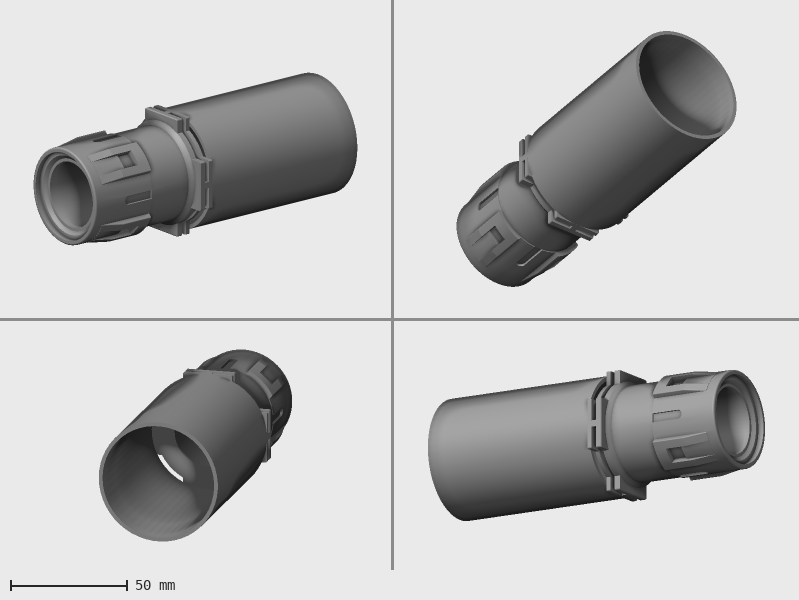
import cadquery as cq

TOTAL_LENGTH = 140.4

TUBE_DIAMETER = 53.0
TUBE_WALL = 1.7

SLEEVE_END = 31.0
CONE_START = 51.5
FLANGE_START = 53.5
FLANGE_END = 60.2

SLEEVE_RADIUS = 21.5
NECK_RADIUS = 21.0
FLANGE_RADIUS = 23.0
MOUTH_FILLET = 0.8

MOUTH_RADIUS = 19.5
MOUTH_DEPTH = 2.5
FUNNEL_OUTER_RADIUS = 17.5
FUNNEL_INNER_RADIUS = 16.0
FUNNEL_DEPTH = 1.4
BORE_RADIUS = 14.6

TAB_WIDTH = 21.9
TAB_CORNER_FILLET = 0.7
TAB_FRONT_CHAMFER = 0.4
GROOVE_START = 56.2
GROOVE_WIDTH = 2.1
WEB_WIDTH = 2.8

SLOT_WIDTH = 4.0
SLOT_TIP = 16.1
SLOT_DEPTH = 1.1

LATCH_WIDTH = 14.7
LATCH_RADIUS = 23.5
LATCH_FILLET = 0.4
RAMP_START = 4.9
RAMP_END = 15.7
CHANNEL_WIDTH = 7.3
CHANNEL_RADIUS = 21.6
WINDOW_START = 19.1
WINDOW_END = 25.5
WINDOW_RADIUS = 20.2
LATCH_ANGLE = 45

QUARTER_TURNS = (0, 90, 180, 270)


def cylinder(radius, start, end):
    """Cylinder on the Y axis between two stations."""
    return cq.Workplane("XZ", origin=(0, start, 0)).circle(radius).extrude(start - end)


def upper_block(width, start, end):
    """Block on the +Z side that reaches from the axis past every outer surface."""
    return cq.Workplane("XY").box(
        width, end - start, TUBE_DIAMETER, centered=(True, False, False)
    ).translate((0, start, 0))


def four_times(shape, first_angle=0):
    """Copies of a shape at quarter turns about the Y axis."""
    copies = cq.Workplane("XY")
    for turn in QUARTER_TURNS:
        copies.add(shape.rotate((0, 0, 0), (0, 1, 0), first_angle + turn))
    return copies.combine()


def make_tube():
    outside = cylinder(TUBE_DIAMETER / 2, FLANGE_END, TOTAL_LENGTH)
    return outside.cut(cylinder(TUBE_DIAMETER / 2 - TUBE_WALL, FLANGE_END, TOTAL_LENGTH))


def make_plug():
    """Sleeve, neck, cone and round flange, turned about the Y axis."""
    profile = (
        cq.Workplane("XY")
        .moveTo(0, 0)
        .lineTo(SLEEVE_RADIUS - MOUTH_FILLET, 0)
        .radiusArc((SLEEVE_RADIUS, MOUTH_FILLET), -MOUTH_FILLET)
        .lineTo(SLEEVE_RADIUS, SLEEVE_END)
        .lineTo(NECK_RADIUS, SLEEVE_END)
        .lineTo(NECK_RADIUS, CONE_START)
        .lineTo(FLANGE_RADIUS, FLANGE_START)
        .lineTo(FLANGE_RADIUS, FLANGE_END)
        .lineTo(0, FLANGE_END)
        .close()
    )
    return profile.revolve(360, (0, 0, 0), (0, 1, 0))


def make_bore():
    funnel_end = MOUTH_DEPTH + FUNNEL_DEPTH
    profile = (
        cq.Workplane("XY")
        .moveTo(0, 0)
        .lineTo(MOUTH_RADIUS, 0)
        .lineTo(MOUTH_RADIUS, MOUTH_DEPTH)
        .lineTo(FUNNEL_OUTER_RADIUS, MOUTH_DEPTH)
        .lineTo(FUNNEL_INNER_RADIUS, funnel_end)
        .lineTo(BORE_RADIUS, funnel_end)
        .lineTo(BORE_RADIUS, FLANGE_END)
        .lineTo(0, FLANGE_END)
        .close()
    )
    return profile.revolve(360, (0, 0, 0), (0, 1, 0))


def make_tab():
    tab = cq.Workplane("XY").box(
        TAB_WIDTH, FLANGE_END - FLANGE_START, TUBE_DIAMETER / 2, centered=(True, False, False)
    ).translate((0, FLANGE_START, 0))
    tab = tab.faces(">Z").edges("<Y").chamfer(TAB_FRONT_CHAMFER)
    return tab.edges("|Y and >Z").fillet(TAB_CORNER_FILLET)


def make_flange_groove():
    """Ring groove down to the neck radius, interrupted by the four webs."""
    groove_end = GROOVE_START + GROOVE_WIDTH
    ring = cylinder(TUBE_DIAMETER, GROOVE_START, groove_end)
    ring = ring.cut(cylinder(NECK_RADIUS, GROOVE_START, groove_end))
    return ring.cut(four_times(upper_block(WEB_WIDTH, GROOVE_START, groove_end)))


def make_slot():
    """Groove with a round front end, open at the back of the sleeve."""
    tip_centre = SLOT_TIP + SLOT_WIDTH / 2
    floor = SLEEVE_RADIUS - SLOT_DEPTH
    round_tip = (
        cq.Workplane("XY", origin=(0, tip_centre, 0)).circle(SLOT_WIDTH / 2).extrude(TUBE_DIAMETER)
    )
    slot = upper_block(SLOT_WIDTH, tip_centre, SLEEVE_END).union(round_tip)
    return slot.cut(cylinder(floor, SLOT_TIP, SLEEVE_END))


def make_latch():
    """Raised pad with a ramp rising toward the back from the channel floor level."""
    turned_ramp = (
        cq.Workplane("XY")
        .moveTo(0, RAMP_START)
        .lineTo(CHANNEL_RADIUS, RAMP_START)
        .lineTo(LATCH_RADIUS, RAMP_END)
        .lineTo(LATCH_RADIUS, SLEEVE_END)
        .lineTo(0, SLEEVE_END)
        .close()
        .revolve(360, (0, 0, 0), (0, 1, 0))
    )
    latch = turned_ramp.intersect(upper_block(LATCH_WIDTH, RAMP_START, SLEEVE_END))
    return latch.faces("<X or >X").edges("not (|Z or <Z)").fillet(LATCH_FILLET)


def make_latch_recess():
    """Channel along the ramp, with a deeper window at its back end."""
    channel = upper_block(CHANNEL_WIDTH, RAMP_START, WINDOW_START)
    channel = channel.cut(cylinder(CHANNEL_RADIUS, RAMP_START, WINDOW_START))
    window = upper_block(CHANNEL_WIDTH, WINDOW_START, WINDOW_END)
    window = window.cut(cylinder(WINDOW_RADIUS, WINDOW_START, WINDOW_END))
    return channel.union(window)


plug = make_plug().union(four_times(make_tab())).cut(make_flange_groove())
plug = plug.cut(four_times(make_slot()))
plug = plug.union(four_times(make_latch(), LATCH_ANGLE))
plug = plug.cut(four_times(make_latch_recess(), LATCH_ANGLE))
plug = plug.cut(make_bore())

result = plug.union(make_tube())